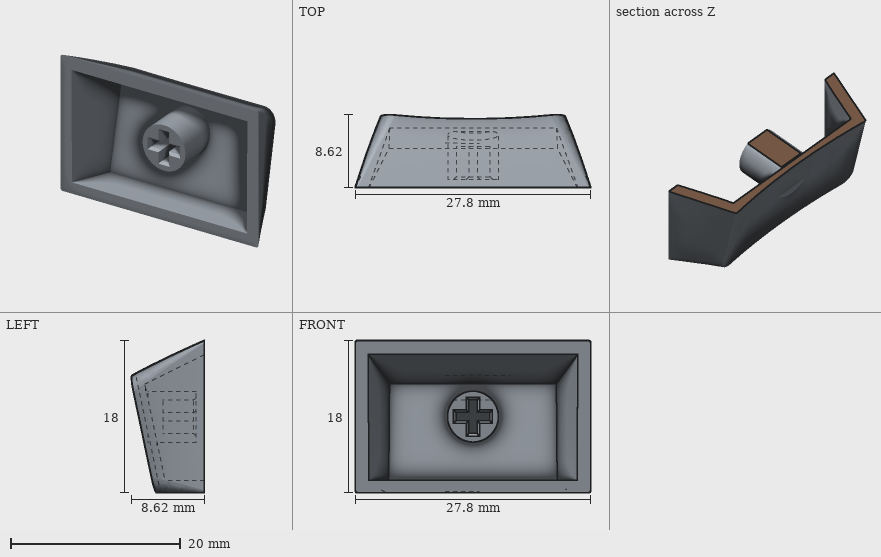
import cadquery as cq
import math

rim_width = 27.8
rim_height = 18.0
rim_corner_radius = 0.33
middle_corner_radius = 1.17
back_corner_radius = 1.9
back_width = 21.7
back_top_depth = 8.9
back_slope = 0.211
top_wall_slope = 0.484
half_height = rim_height / 2

dish_radius = 86.2
dish_depth = 0.8
dish_length = 55.62
back_edge_radius = 0.22

cavity_bottom = -7.5
cavity_rim_top = 7.35
cavity_floor_top = 3.87
cavity_rim_top_width = 24.72
cavity_rim_bottom_width = 24.55
cavity_floor_top_width = 19.65
cavity_floor_bottom_width = 19.85
floor_bottom_depth = 4.67
floor_top_depth = floor_bottom_depth + back_slope * (cavity_floor_top - cavity_bottom)

stem_diameter = 6.0
stem_start = 1.0
stem_end = 6.67
cross_span = 4.6
cross_arm_width = 1.59
cross_inset = 0.3
cross_lead_depth = 0.3
cross_depth = 3.9
cross_lead_angle = math.degrees(math.atan(cross_inset / cross_lead_depth))

back_at_zero = back_top_depth - back_slope * (half_height - top_wall_slope * back_top_depth)
back_top_z = (half_height - top_wall_slope * back_at_zero) / (1 + top_wall_slope * back_slope)


def shell_section(fraction, width, corner_radius):
    """Rounded rectangle part way from the rim (0) to the back (1)."""
    slope = fraction * back_slope
    top = half_height + fraction * (back_top_z - half_height)
    bottom = -half_height
    middle = (top + bottom) / 2
    depth = fraction * back_at_zero + slope * middle
    length = (top - bottom) * math.hypot(1, slope)
    plane = cq.Plane(origin=(0, depth, middle), xDir=(1, 0, 0), normal=(0, -1, slope))
    wire = cq.Workplane(plane).rect(width, length).val()
    return wire.fillet2D(corner_radius, wire.Vertices())


def make_shell():
    wires = [
        shell_section(0, rim_width, rim_corner_radius),
        shell_section(0.5, (rim_width + back_width) / 2, middle_corner_radius),
        shell_section(1, back_width, back_corner_radius),
    ]
    return cq.Workplane(obj=cq.Solid.makeLoft(wires))


def make_dish():
    normal = cq.Vector(0, 1, -back_slope).normalized()
    along = cq.Vector(0, back_slope, 1).normalized()
    axis_point = cq.Vector(0, back_at_zero, 0) + normal * (dish_radius - dish_depth)
    start = axis_point - along * (dish_length / 2)
    return cq.Workplane(obj=cq.Solid.makeCylinder(dish_radius, dish_length, start, along))


def trapezoid(bottom_width, top_width, bottom_point, top_point):
    """Closed wire between a lower and an upper level line, each given as (Y, Z)."""
    corners = [
        cq.Vector(-bottom_width / 2, *bottom_point),
        cq.Vector(bottom_width / 2, *bottom_point),
        cq.Vector(top_width / 2, *top_point),
        cq.Vector(-top_width / 2, *top_point),
    ]
    return cq.Wire.makePolygon(corners, close=True)


def make_cavity():
    rim = trapezoid(
        cavity_rim_bottom_width, cavity_rim_top_width, (0, cavity_bottom), (0, cavity_rim_top)
    )
    floor = trapezoid(
        cavity_floor_bottom_width,
        cavity_floor_top_width,
        (floor_bottom_depth, cavity_bottom),
        (floor_top_depth, cavity_floor_top),
    )
    return cq.Workplane(obj=cq.Solid.makeLoft([rim, floor], True))


def facing_back(depth):
    """Workplane at Y = depth whose extrusions run towards +Y."""
    return cq.Workplane(cq.Plane(origin=(0, depth, 0), xDir=(1, 0, 0), normal=(0, 1, 0)))


def make_socket_arm(width, height):
    lead_in = facing_back(stem_start).rect(width, height).extrude(cross_lead_depth, taper=cross_lead_angle)
    inner_width = width - 2 * cross_inset
    inner_height = height - 2 * cross_inset
    slot = facing_back(stem_start).rect(inner_width, inner_height).extrude(cross_depth)
    return lead_in.union(slot)


def make_stem():
    stem = facing_back(stem_start).circle(stem_diameter / 2).extrude(stem_end - stem_start)
    stem = stem.cut(make_socket_arm(cross_span, cross_arm_width))
    return stem.cut(make_socket_arm(cross_arm_width, cross_span))


def make_body():
    dished = make_shell().cut(make_dish())
    return dished.faces(">Y").edges().fillet(back_edge_radius)


result = make_body().cut(make_cavity()).union(make_stem())